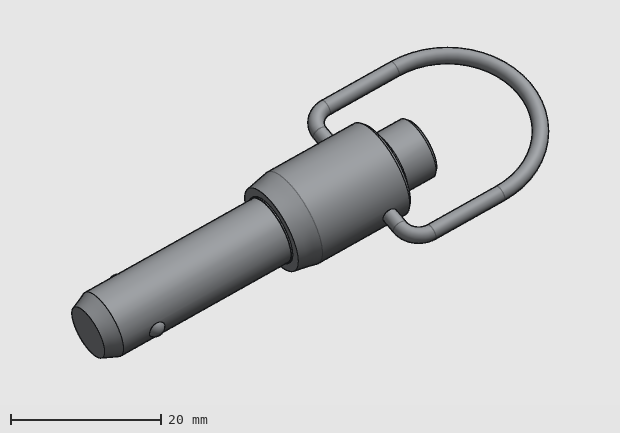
import cadquery as cq

total_length = 71.5

shank_radius = 4.85
tip_radius = 3.85
tip_length = 2.35

lip_radius = 5.0
lip_length = 0.2

sleeve_start = 29.6
sleeve_end = 47.55
sleeve_radius = 6.97
sleeve_nose_radius = 6.3
sleeve_taper_length = 3.4
sleeve_chamfer = 0.4

collar_base_radius = 5.15
collar_top_radius = 4.85
collar_end = 48.3

button_end = 53.55
button_radius = 4.4
button_chamfer = 0.4

ball_radius = 1.4
ball_position = 7.8
ball_reach = 5.6

wire_diameter = 2.2
wire_radius = wire_diameter / 2
ring_width = 26.95
ring_foot_position = 43.9
ring_bend_radius = 3.0


def make_pin():
    """Revolve the shank, lip, sleeve, collar and button about the Y axis."""
    profile = [
        (0, 0),
        (tip_radius, 0),
        (shank_radius, tip_length),
        (shank_radius, sleeve_start - lip_length),
        (lip_radius, sleeve_start - lip_length),
        (lip_radius, sleeve_start),
        (sleeve_nose_radius, sleeve_start),
        (sleeve_radius, sleeve_start + sleeve_taper_length),
        (sleeve_radius, sleeve_end - sleeve_chamfer),
        (sleeve_radius - sleeve_chamfer, sleeve_end),
        (collar_base_radius, sleeve_end),
        (collar_top_radius, collar_end),
        (button_radius, collar_end),
        (button_radius, button_end - button_chamfer),
        (button_radius - button_chamfer, button_end),
        (0, button_end),
    ]
    return cq.Workplane("XY").polyline(profile).close().revolve(360, (0, 0, 0), (0, 1, 0))


def make_ball(side):
    """Locking ball on the +X (side = 1) or -X (side = -1) flank of the shank."""
    center_x = side * (ball_reach - ball_radius)
    return cq.Workplane("XY").sphere(ball_radius).translate((center_x, ball_position, 0))


def make_ring():
    """Sweep the round wire along the D-shaped pull ring, passing through the sleeve."""
    ring_radius = ring_width / 2 - wire_radius
    bow_start = total_length - wire_radius - ring_radius
    bend_end = ring_foot_position + ring_bend_radius
    foot_x = ring_radius - ring_bend_radius
    path = (
        cq.Workplane("XY")
        .moveTo(0, ring_foot_position)
        .lineTo(foot_x, ring_foot_position)
        .tangentArcPoint((ring_radius, bend_end), relative=False)
        .lineTo(ring_radius, bow_start)
        .threePointArc((0, bow_start + ring_radius), (-ring_radius, bow_start))
        .lineTo(-ring_radius, bend_end)
        .tangentArcPoint((-foot_x, ring_foot_position), relative=False)
        .lineTo(0, ring_foot_position)
    )
    wire_section = cq.Workplane("YZ").center(ring_foot_position, 0).circle(wire_radius)
    return wire_section.sweep(path)


result = make_pin().union(make_ring())
for side in (-1, 1):
    result = result.union(make_ball(side))